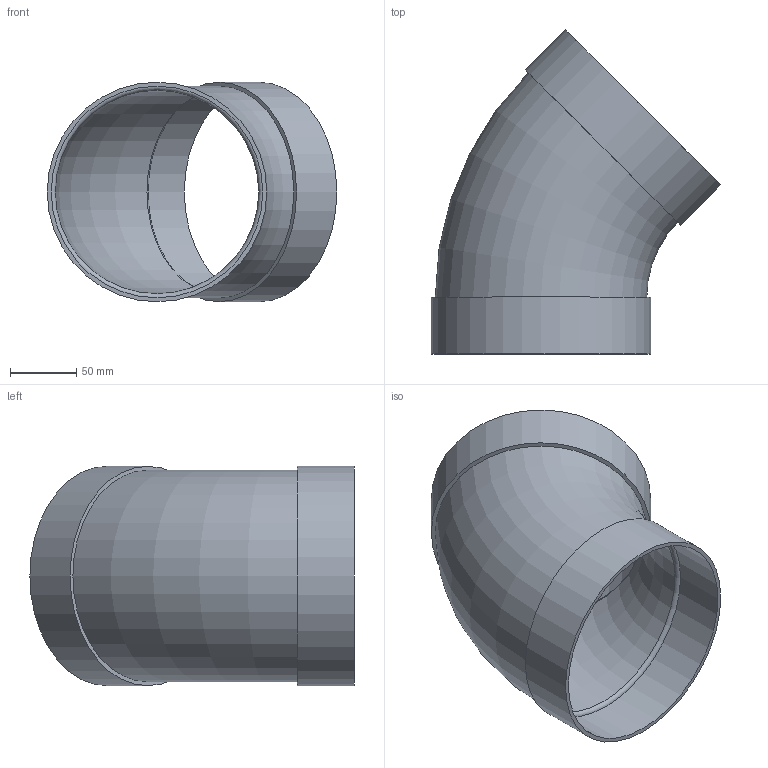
import cadquery as cq
import math

pipe_diameter = 160.0
wall = 3.0
bend_angle = 45.0
bend_radius = 160.0
socket_length = 43.0

pipe_radius = pipe_diameter / 2
bore_radius = pipe_radius - wall
socket_radius = pipe_radius + wall
lip_radius = wall

bend_angle_rad = math.radians(bend_angle)
bend_end = (
    bend_radius * (1 - math.cos(bend_angle_rad)),
    bend_radius * math.sin(bend_angle_rad),
    0,
)


def curved_rod(radius):
    """Solid round rod following the bend."""
    return (
        cq.Workplane("XZ")
        .circle(radius)
        .revolve(bend_angle, (bend_radius, 1, 0), (bend_radius, 0, 0))
    )


def socket():
    """Sleeve opening towards -Y, closed inwards at its root by a convex rounded pipe stop."""
    arc_offset = lip_radius * math.sin(math.radians(45))
    lip_middle = (bore_radius + lip_radius - arc_offset, -arc_offset)
    return (
        cq.Workplane("XY")
        .moveTo(bore_radius, 0)
        .lineTo(socket_radius, 0)
        .lineTo(socket_radius, -socket_length)
        .lineTo(pipe_radius, -socket_length)
        .lineTo(pipe_radius, -lip_radius)
        .threePointArc(lip_middle, (bore_radius, 0))
        .close()
        .revolve(360, (0, 0, 0), (0, 1, 0))
    )


bend = curved_rod(pipe_radius).cut(curved_rod(bore_radius))
inlet_socket = socket()
outlet_socket = socket().rotate((0, 0, 0), (0, 0, 1), 180 - bend_angle).translate(bend_end)

result = bend.union(inlet_socket).union(outlet_socket)